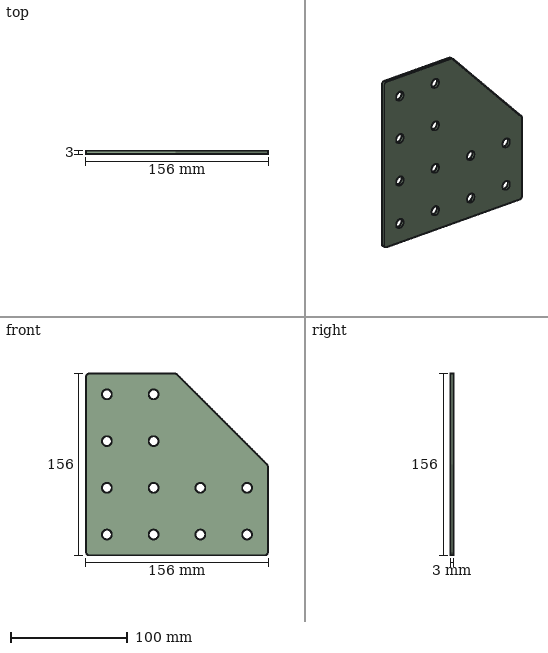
import cadquery as cq

side = 156.0
thickness = 3.0
straight_edge = 77.2
corner_radius = 3.0
hole_diameter = 8.3
edge_margin = 18.0
long_count = 4
short_count = 2
hole_pitch = (side - 2 * edge_margin) / (long_count - 1)


def make_plate():
    """Square plate in the XZ plane with one corner cut off diagonally."""
    outline = [
        (0, 0),
        (side, 0),
        (side, straight_edge),
        (straight_edge, side),
        (0, side),
    ]
    plate = cq.Workplane("XZ").polyline(outline).close().extrude(-thickness)
    return plate.edges("|Y").fillet(corner_radius)


def hole_centers():
    """Grid positions belonging to either arm of the L-shaped hole pattern."""
    return [
        (edge_margin + column * hole_pitch, edge_margin + row * hole_pitch)
        for column in range(long_count)
        for row in range(long_count)
        if min(column, row) < short_count
    ]


def make_holes():
    """Cylinders that pass through the full plate thickness."""
    return (
        cq.Workplane("XZ")
        .pushPoints(hole_centers())
        .circle(hole_diameter / 2)
        .extrude(-thickness)
    )


result = make_plate().cut(make_holes())